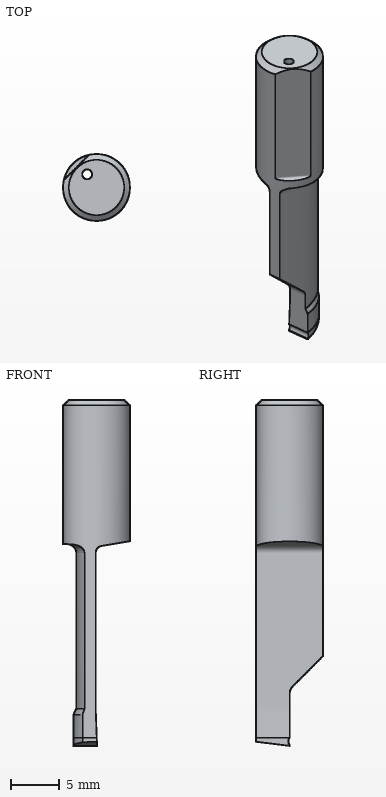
import cadquery as cq
import math

LENGTH = 36.0
RADIUS = 3.5
REACH = 2 * RADIUS

TOP_CHAMFER_RADIAL = 0.6
TOP_CHAMFER_HEIGHT = 0.58
FLAT_DISTANCE = 2.95
FLAT_ANGLE = 135.0
FLAT_BOTTOM = 21.92
FLAT_CORNER_RADIUS = 0.18
COOLANT_X = -0.97
COOLANT_Y = 1.35
COOLANT_DIAMETER = 1.0

LEFT_SHOULDER_Z = 21.0
LEFT_SHOULDER_RADIUS = 0.95
NECK_LEFT_X = -2.12
NECK_LEFT_RADIUS = 6.48
NECK_RIGHT_X = -0.07
RIGHT_SHOULDER_Z = 20.7
RIGHT_SHOULDER_SLOPE = 9.5
RIGHT_SHOULDER_RADIUS = 0.72
RAMP_TOP_Z = 9.35
RAMP_RADIUS = 1.08
RAKE_Y = 0.05

FLARE_TOP = 3.85
FLARE_BOTTOM = 3.28
HEAD_LEFT_X = -2.4
RELIEF_END_X = -2.35
RELIEF_END_Y = -1.05
HEAD_FRONT_X = -1.4
HEAD_FRONT_Y = -3.2
HEAD_LEFT_RADIUS = 6.1
HEAD_RIGHT_X = 0.07
TIP_RISE = 0.45

TIP_HEIGHT = 0.85
GROOVE_DEPTH = 0.15
GROOVE_BOTTOM = 0.1


def neck_left_x(y):
    """X of the neck's convex left face at a given Y."""
    return NECK_LEFT_X + NECK_LEFT_RADIUS - math.sqrt(NECK_LEFT_RADIUS ** 2 - y ** 2)


def shank_envelope():
    """Full-length cylinder with the chamfered top."""
    chamfer_z = LENGTH - TOP_CHAMFER_HEIGHT
    return (
        cq.Workplane("XZ")
        .lineTo(RADIUS, 0)
        .lineTo(RADIUS, chamfer_z)
        .lineTo(RADIUS - TOP_CHAMFER_RADIAL, LENGTH)
        .lineTo(0, LENGTH)
        .close()
        .revolve(360, (0, 0), (0, 1))
    )


def left_clearance():
    """Space left of the neck, with a rounded shoulder."""
    end_x = neck_left_x(RADIUS)
    clearance = (
        cq.Workplane("XY")
        .moveTo(-REACH, -RADIUS)
        .lineTo(end_x, -RADIUS)
        .threePointArc((NECK_LEFT_X, 0), (end_x, RADIUS))
        .lineTo(-REACH, RADIUS)
        .close()
        .extrude(LEFT_SHOULDER_Z)
    )
    shoulder_edge = clearance.faces(">Z").edges("%CIRCLE")
    return clearance.newObject(shoulder_edge.vals()).fillet(LEFT_SHOULDER_RADIUS)


def right_clearance():
    """Space right of the neck and the tapered head, under the sloped shoulder."""
    shoulder_end_z = RIGHT_SHOULDER_Z + REACH * math.tan(math.radians(RIGHT_SHOULDER_SLOPE))
    clearance = (
        cq.Workplane("XZ")
        .moveTo(HEAD_RIGHT_X, 0)
        .lineTo(NECK_RIGHT_X, FLARE_TOP)
        .lineTo(NECK_RIGHT_X, RIGHT_SHOULDER_Z)
        .lineTo(REACH, shoulder_end_z)
        .lineTo(REACH, 0)
        .close()
        .extrude(REACH, both=True)
    )
    corner = cq.selectors.NearestToPointSelector((NECK_RIGHT_X, 0, RIGHT_SHOULDER_Z))
    return clearance.edges(corner).fillet(RIGHT_SHOULDER_RADIUS)


def rear_clearance():
    """Space behind the head, under the 45 degree ramp."""
    ramp_end_z = RAMP_TOP_Z - (RADIUS - RAKE_Y)
    clearance = (
        cq.Workplane("YZ")
        .moveTo(RAKE_Y, 0)
        .lineTo(RAKE_Y, ramp_end_z)
        .lineTo(REACH, ramp_end_z + REACH - RAKE_Y)
        .lineTo(REACH, 0)
        .close()
        .extrude(REACH, both=True)
    )
    corner = cq.selectors.NearestToPointSelector((0, RAKE_Y, ramp_end_z))
    return clearance.edges(corner).fillet(RAMP_RADIUS)


def section_wire(z, rake_x, relief_end, left_mid, front):
    """Closed section: left face from the rake to the front, closed well to the right."""
    right_x = RADIUS
    rake = cq.Vector(rake_x, RAKE_Y, z)
    relief = cq.Vector(*relief_end, z)
    front_corner = cq.Vector(*front, z)
    front_right = cq.Vector(right_x, front[1], z)
    rake_right = cq.Vector(right_x, RAKE_Y, z)
    return cq.Wire.assembleEdges([
        cq.Edge.makeLine(rake, relief),
        cq.Edge.makeThreePointArc(relief, cq.Vector(*left_mid, z), front_corner),
        cq.Edge.makeLine(front_corner, front_right),
        cq.Edge.makeLine(front_right, rake_right),
        cq.Edge.makeLine(rake_right, rake),
    ])


def head_wire(z):
    """Head section: a straight relief land followed by a convex arc."""
    front = (neck_left_x(RADIUS) + HEAD_FRONT_X - neck_left_x(HEAD_FRONT_Y), -RADIUS)
    chord_x = front[0] - RELIEF_END_X
    chord_y = front[1] - RELIEF_END_Y
    chord = math.hypot(chord_x, chord_y)
    bulge = HEAD_LEFT_RADIUS - math.sqrt(HEAD_LEFT_RADIUS ** 2 - (chord / 2) ** 2)
    left_mid = (
        (front[0] + RELIEF_END_X) / 2 + bulge * chord_y / chord,
        (front[1] + RELIEF_END_Y) / 2 - bulge * chord_x / chord,
    )
    return section_wire(z, HEAD_LEFT_X, (RELIEF_END_X, RELIEF_END_Y), left_mid, front)


def neck_wire(z):
    """Neck section, divided at the same place as the head section."""
    mid_y = (RELIEF_END_Y - RADIUS) / 2
    return section_wire(
        z,
        neck_left_x(RAKE_Y),
        (neck_left_x(RELIEF_END_Y), RELIEF_END_Y),
        (neck_left_x(mid_y), mid_y),
        (neck_left_x(RADIUS), -RADIUS),
    )


def head():
    """Straight head and the flare that joins it to the neck."""
    straight = cq.Solid.extrudeLinear(head_wire(0), [], cq.Vector(0, 0, FLARE_BOTTOM))
    flare = cq.Solid.makeLoft([head_wire(FLARE_BOTTOM), neck_wire(FLARE_TOP)], True)
    envelope = cq.Workplane("XY").circle(RADIUS).extrude(FLARE_TOP)
    return cq.Workplane(straight).union(cq.Workplane(flare)).intersect(envelope)


def end_clearance():
    """Wedge below the end face, which rises towards the front."""
    return (
        cq.Workplane("YZ")
        .moveTo(RAKE_Y, 0)
        .lineTo(-RADIUS, TIP_RISE)
        .lineTo(-RADIUS, 0)
        .close()
        .extrude(REACH, both=True)
    )


def flat_clearance():
    """Space outside the clamping flat, rounded at its bottom inner corner."""
    clearance = (
        cq.Workplane("XY")
        .box(RADIUS, 2 * REACH, LENGTH, centered=(False, True, False))
        .edges("<X and <Z")
        .fillet(FLAT_CORNER_RADIUS)
    )
    placed = clearance.translate((FLAT_DISTANCE, 0, FLAT_BOTTOM))
    return placed.rotate((0, 0, 0), (0, 0, 1), FLAT_ANGLE)


def coolant_hole():
    """Through hole parallel to the axis."""
    return (
        cq.Workplane("XY")
        .center(COOLANT_X, COOLANT_Y)
        .circle(COOLANT_DIAMETER / 2)
        .extrude(LENGTH)
    )


def chip_groove():
    """Shallow curved groove across the rake face of the cutting tip."""
    middle_z = (GROOVE_BOTTOM + TIP_HEIGHT) / 2
    return (
        cq.Workplane("YZ")
        .moveTo(RAKE_Y, GROOVE_BOTTOM)
        .threePointArc((RAKE_Y - GROOVE_DEPTH, middle_z), (RAKE_Y, TIP_HEIGHT))
        .close()
        .extrude(REACH, both=True)
    )


tool = shank_envelope().cut(left_clearance()).union(head())
for clearance in (right_clearance(), rear_clearance(), end_clearance()):
    tool = tool.cut(clearance)

tip_space = cq.Workplane("XY").box(2 * REACH, 2 * REACH, TIP_HEIGHT, centered=(True, True, False))

holder = tool.cut(tip_space).cut(flat_clearance()).cut(coolant_hole())
cutting_tip = tool.intersect(tip_space).cut(chip_groove())

result = cq.Compound.makeCompound([*holder.solids().vals(), *cutting_tip.solids().vals()])